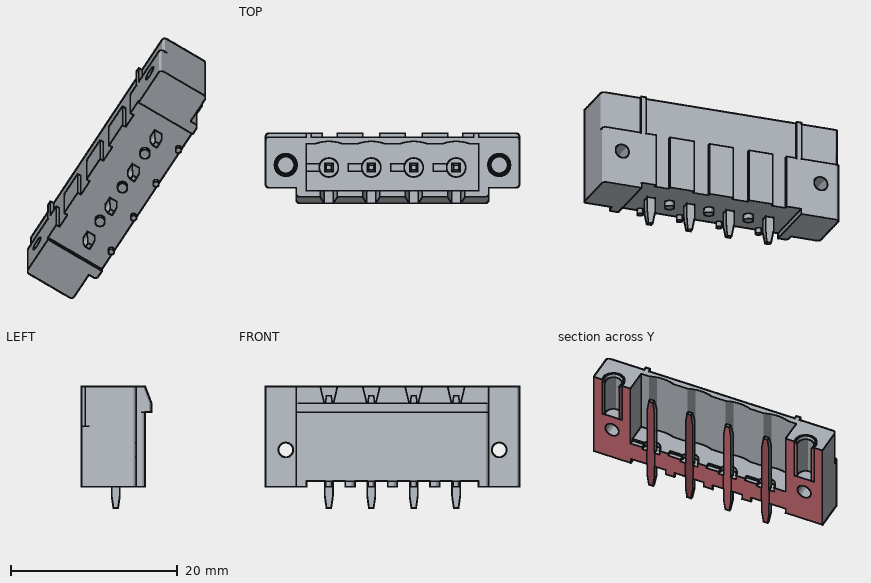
import cadquery as cq


pin_count = 4
pitch = 5.1
pin_xs = [(i - (pin_count - 1) / 2) * pitch for i in range(pin_count)]
mid_xs = [(a + b) / 2 for a, b in zip(pin_xs, pin_xs[1:])]

pin_side = 1.0
pin_tip_side = 0.58
pin_bottom = -2.55
pin_top = 10.9
pin_taper = 1.45

length = 30.48
height = 12.05
corner_radius = 0.43
back_y = 4.1
flange_front_y = -2.45
hood_front_y = -3.55
hood_length = 23.1

lip_front_y = -4.3
lip_bottom_z = 8.95
lip_slope_height = 2.0
lip_slope_z = height - lip_slope_height
notch_top_width = 2.07
notch_bottom_width = 1.1

cavity_length = 20.67
cavity_floor_z = 3.5
cavity_front_y = -2.77
cavity_back_y = 2.83
scallop_width = 3.3
scallop_depth = 0.3

collar_diameter = 2.3
collar_depth = 0.6
slot_depth = 0.3
slot_width = 0.85
slot_reach = 2.75

step_depth = 0.45
step_z = 7.25
rib_width = 0.6
back_pad_width = 3.08
end_pad_inner_x = 8.4

foot_recess_height = 0.67
foot_recess_length = 20.6
mid_peg_diameter = 1.2
mid_peg_y = 0.0
front_peg_diameter = 0.7
front_peg_y = -3.17

flange_hole_x = 12.8
cross_hole_diameter = 1.75
cross_hole_z = 4.42
insert_y = 0.3
insert_diameter = 2.7
insert_bore = 2.0
lead_in_diameter = 2.38
lead_in_depth = 0.4
insert_length = 5.5


def box(x0, x1, y0, y1, z0, z1):
    return cq.Workplane("XY").box(x1 - x0, y1 - y0, z1 - z0, centered=False).translate((x0, y0, z0))


def rod(diameter, x, y, z0, z1):
    return cq.Workplane("XY", origin=(x, y, z0)).circle(diameter / 2).extrude(z1 - z0)


def make_flange_block():
    """Wide rear block, rounded at its corners and set back along the upper part of its back."""
    half = length / 2
    lower = box(-half, half, flange_front_y, back_y, 0, step_z).edges("|Z").fillet(corner_radius)
    upper = box(-half, half, flange_front_y, back_y - step_depth, step_z, height)
    return lower.union(upper.edges("|Z").fillet(corner_radius))


def make_hood():
    """Front part of the housing with the sloped snap lip along its upper edge."""
    profile = [
        (0, 0),
        (hood_front_y, 0),
        (hood_front_y, lip_bottom_z),
        (lip_front_y, lip_bottom_z),
        (lip_front_y, lip_slope_z),
        (hood_front_y, height),
        (0, height),
    ]
    hood = cq.Workplane("YZ").polyline(profile).close().extrude(hood_length / 2, both=True)
    front_half = cq.selectors.BoxSelector(
        (-hood_length, 2 * lip_front_y, 0), (hood_length, hood_front_y / 2, height)
    )
    return hood.edges("not |X").edges("not |Y").edges(front_half).fillet(corner_radius)


def make_cavity():
    """Plug cavity, open at the top, with one shallow scallop behind each pin."""
    half = cavity_length / 2
    outline = cq.Workplane("XY", origin=(0, 0, cavity_floor_z)).moveTo(-half, cavity_front_y)
    outline = outline.lineTo(-half, cavity_back_y)
    for x in pin_xs:
        outline = outline.lineTo(x - scallop_width / 2, cavity_back_y)
        outline = outline.threePointArc(
            (x, cavity_back_y + scallop_depth), (x + scallop_width / 2, cavity_back_y)
        )
    outline = outline.lineTo(half, cavity_back_y).lineTo(half, cavity_front_y)
    return outline.close().extrude(height - cavity_floor_z)


def make_lip_notch(x):
    """Tapered notch through the front wall in front of a pin."""
    return (
        cq.Workplane("XZ", origin=(x, cavity_front_y, 0))
        .moveTo(-notch_top_width / 2, height)
        .lineTo(-notch_bottom_width / 2, lip_slope_z)
        .lineTo(notch_bottom_width / 2, lip_slope_z)
        .lineTo(notch_top_width / 2, height)
        .close()
        .extrude(cavity_front_y - lip_front_y)
    )


def make_floor_recess(x):
    """Round recess around a pin with a shallower slot to its left, held inside the cavity."""
    slot_left = max(x - slot_reach, -cavity_length / 2)
    slot_half = slot_width / 2
    slot = box(slot_left, x, -slot_half, slot_half, cavity_floor_z - slot_depth, cavity_floor_z)
    return rod(collar_diameter, x, 0, cavity_floor_z - collar_depth, cavity_floor_z).union(slot)


def cut_back_grooves(housing):
    """Leave a pad on the back behind each gap between pins and at both ends."""
    pad_half = back_pad_width / 2
    edges = [-end_pad_inner_x]
    for x in mid_xs:
        edges += [x - pad_half, x + pad_half]
    edges.append(end_pad_inner_x)
    for x0, x1 in zip(edges[::2], edges[1::2]):
        housing = housing.cut(box(x0, x1, back_y - step_depth, back_y, 0, height))
    return housing


def add_back_ribs(housing):
    """Carry two ribs, in line with the cavity ends, up the back to the top."""
    for side in (-1, 1):
        x = side * (cavity_length - rib_width) / 2
        housing = housing.union(
            box(x - rib_width / 2, x + rib_width / 2, back_y - step_depth, back_y, step_z, height)
        )
    return housing


def cut_underside(housing):
    """Raise the underside between the end feet and leave standoff pegs flush with the feet."""
    half = foot_recess_length / 2
    housing = housing.cut(box(-half, half, lip_front_y, back_y, 0, foot_recess_height))
    for x in mid_xs:
        housing = housing.union(rod(mid_peg_diameter, x, mid_peg_y, 0, foot_recess_height))
    for x in pin_xs:
        housing = housing.union(rod(front_peg_diameter, x, front_peg_y, 0, foot_recess_height))
    return housing


def cut_flange_holes(housing):
    """Blind insert seat from the top and a cross hole from front to back in each flange."""
    for side in (-1, 1):
        x = side * flange_hole_x
        housing = housing.cut(rod(insert_diameter, x, insert_y, height - insert_length, height))
        cross_hole = (
            cq.Workplane("XZ", origin=(x, back_y, cross_hole_z))
            .circle(cross_hole_diameter / 2)
            .extrude(back_y - flange_front_y)
        )
        housing = housing.cut(cross_hole)
    return housing


def make_housing(pins):
    """Complete housing with fitting seats for the given pins and for the inserts."""
    housing = make_flange_block().union(make_hood()).cut(make_cavity())
    for x in pin_xs:
        housing = housing.cut(make_lip_notch(x)).cut(make_floor_recess(x))
    housing = cut_back_grooves(housing)
    housing = add_back_ribs(housing)
    housing = cut_underside(housing)
    housing = cut_flange_holes(housing)
    for pin in pins:
        housing = housing.cut(pin)
    return housing


def make_pin(x):
    """Square pin tapering to a smaller square at both ends."""
    shaft_bottom = pin_bottom + pin_taper
    shaft_top = pin_top - pin_taper
    shaft = (
        cq.Workplane("XY", origin=(x, 0, shaft_bottom))
        .rect(pin_side, pin_side)
        .extrude(shaft_top - shaft_bottom)
    )
    for base_z, tip_z in ((shaft_bottom, pin_bottom), (shaft_top, pin_top)):
        tip = (
            cq.Workplane("XY", origin=(x, 0, base_z))
            .rect(pin_side, pin_side)
            .workplane(offset=tip_z - base_z)
            .rect(pin_tip_side, pin_tip_side)
            .loft(ruled=True)
        )
        shaft = shaft.union(tip)
    return shaft


def make_insert(x):
    """Tubular insert, flush with the flange top, with a conical lead-in to its bore."""
    bore_radius = insert_bore / 2
    outer_radius = insert_diameter / 2
    profile = [
        (bore_radius, -insert_length),
        (outer_radius, -insert_length),
        (outer_radius, 0),
        (lead_in_diameter / 2, 0),
        (bore_radius, -lead_in_depth),
    ]
    tube = cq.Workplane("XZ").polyline(profile).close().revolve(360, (0, 0), (0, 1))
    return tube.translate((x, insert_y, height))


pins = [make_pin(x) for x in pin_xs]
inserts = [make_insert(side * flange_hole_x) for side in (-1, 1)]
housing = make_housing(pins)

result = cq.Compound.makeCompound(
    [housing.val(), *[pin.val() for pin in pins], *[insert.val() for insert in inserts]]
)